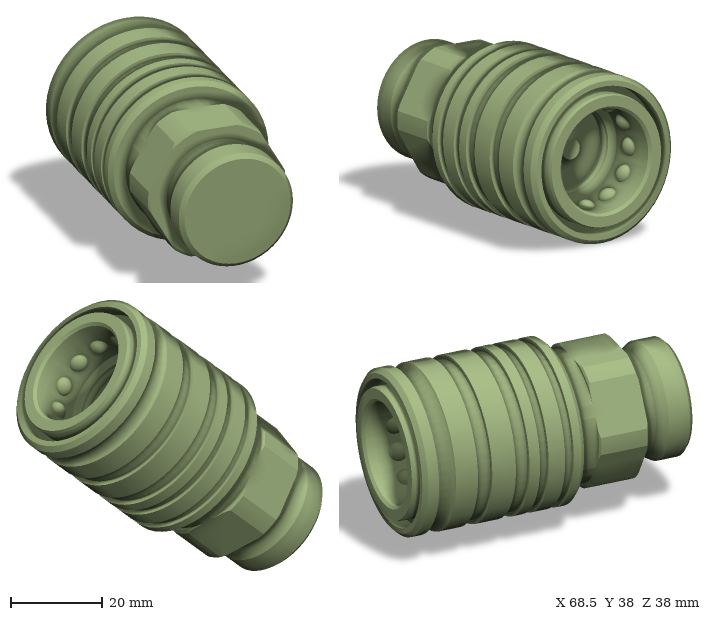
import cadquery as cq
import math


LENGTH = 68.5
SLEEVE_RADIUS = 38.0 / 2
BARREL_RADIUS = 15.1

SLEEVE_FRONT = 1.1
SLEEVE_REAR = 40.0
SLEEVE_CHAMFER = 1.0
GRIP_DEPTH = 1.0
GRIP_GROOVES = [(14.05, 17.5), (23.15, 26.45), (29.0, 31.0), (35.0, 37.05)]
ROUND_GROOVE_CENTER = 6.7
ROUND_GROOVE_WIDTH = 4.05
ROUND_GROOVE_DEPTH = 1.45
RECESS_RADIUS = 16.8
RECESS_DEPTH = 3.8

NOSE_CHAMFER_LENGTH = 0.8
NOSE_CHAMFER_DEPTH = 0.3
HEX_FRONT = 44.6
HEX_REAR = 56.4
HEX_ACROSS_FLATS = 30.0
HEX_CORNER_RADIUS = 16.25
HEX_FACE_RADIUS = 15.7
HEX_CHAMFER_ANGLE = 30.0
NECK_RADIUS = 12.0
NECK_FILLET = 0.35
FLARE_FRONT = 60.0
FLARE_REAR = 62.5
SPIGOT_RADIUS = 13.5
SPIGOT_CHAMFER = 1.0

SOCKET_RADIUS = 11.8
MOUTH_CHAMFER = 0.6
SEAT_START = 12.5
SEAT_END = 13.3
SEAL_BORE_RADIUS = 10.1
SOCKET_DEPTH = 16.45
SEAL_START = 14.0
SEAL_PROJECTION = 0.35
SEAL_SECTION_RADIUS = 1.2

NOSE_TIP_RADIUS = 2.3
NOSE_FLARE_RADIUS = 3.0
NOSE_RIM_WIDTH = 0.2
NOSE_RIM_HEIGHT = 0.15

BALL_COUNT = 12
BALL_RADIUS = 2.3
BALL_STATION = 7.8
BALL_CIRCLE_RADIUS = 12.7


def revolve_about_x(profile):
    """Turn a closed profile, drawn as (station, radius), about the X axis."""
    return profile.close().revolve(360, (0, 0, 0), (1, 0, 0))


def cylinder(start, end, radius):
    return cq.Workplane("YZ").workplane(offset=start).circle(radius).extrude(end - start)


def ring(start, end, inner_radius, outer_radius):
    return cylinder(start, end, outer_radius).cut(cylinder(start, end, inner_radius))


def make_sleeve():
    rim_radius = SLEEVE_RADIUS - SLEEVE_CHAMFER
    recess_floor = SLEEVE_FRONT + RECESS_DEPTH
    groove_front = ROUND_GROOVE_CENTER - ROUND_GROOVE_WIDTH / 2
    groove_rear = ROUND_GROOVE_CENTER + ROUND_GROOVE_WIDTH / 2
    groove_floor = (ROUND_GROOVE_CENTER, SLEEVE_RADIUS - ROUND_GROOVE_DEPTH)
    sleeve = revolve_about_x(
        cq.Workplane("XY")
        .moveTo(SLEEVE_FRONT, RECESS_RADIUS)
        .lineTo(SLEEVE_FRONT, rim_radius)
        .lineTo(SLEEVE_FRONT + SLEEVE_CHAMFER, SLEEVE_RADIUS)
        .lineTo(groove_front, SLEEVE_RADIUS)
        .threePointArc(groove_floor, (groove_rear, SLEEVE_RADIUS))
        .lineTo(SLEEVE_REAR - SLEEVE_CHAMFER, SLEEVE_RADIUS)
        .lineTo(SLEEVE_REAR, rim_radius)
        .lineTo(SLEEVE_REAR, BARREL_RADIUS)
        .lineTo(recess_floor, BARREL_RADIUS)
        .lineTo(recess_floor, RECESS_RADIUS)
    )
    for start, end in GRIP_GROOVES:
        sleeve = sleeve.cut(ring(start, end, SLEEVE_RADIUS - GRIP_DEPTH, SLEEVE_RADIUS + GRIP_DEPTH))
    return sleeve


def make_barrel():
    """Cylinder under the sleeve, with a slightly tapered front rim."""
    return revolve_about_x(
        cq.Workplane("XY")
        .moveTo(0, 0)
        .lineTo(0, BARREL_RADIUS - NOSE_CHAMFER_DEPTH)
        .lineTo(NOSE_CHAMFER_LENGTH, BARREL_RADIUS)
        .lineTo(HEX_FRONT, BARREL_RADIUS)
        .lineTo(HEX_FRONT, 0)
    )


def make_hex_prism(start, end):
    """Hexagonal prism with flats facing +Z and -Z."""
    across_corners = HEX_ACROSS_FLATS / math.cos(math.radians(30))
    return cq.Workplane("YZ").workplane(offset=start).polygon(6, across_corners).extrude(end - start)


def make_hexagon():
    """Wrench hexagon with rounded corners and conical end chamfers."""
    chamfer_length = (HEX_CORNER_RADIUS - HEX_FACE_RADIUS) * math.tan(math.radians(HEX_CHAMFER_ANGLE))
    envelope = revolve_about_x(
        cq.Workplane("XY")
        .moveTo(HEX_FRONT, 0)
        .lineTo(HEX_FRONT, HEX_FACE_RADIUS)
        .lineTo(HEX_FRONT + chamfer_length, HEX_CORNER_RADIUS)
        .lineTo(HEX_REAR - chamfer_length, HEX_CORNER_RADIUS)
        .lineTo(HEX_REAR, HEX_FACE_RADIUS)
        .lineTo(HEX_REAR, 0)
    )
    return make_hex_prism(HEX_FRONT, HEX_REAR).intersect(envelope)


def make_spigot():
    """Rear neck, filleted into the hexagon, flaring out to the end spigot."""
    fillet_end = (HEX_REAR + NECK_FILLET, NECK_RADIUS)
    fillet_drop = NECK_FILLET * (1 - math.sqrt(0.5))
    fillet_middle = (HEX_REAR + fillet_drop, NECK_RADIUS + fillet_drop)
    return revolve_about_x(
        cq.Workplane("XY")
        .moveTo(HEX_REAR, 0)
        .lineTo(HEX_REAR, NECK_RADIUS + NECK_FILLET)
        .threePointArc(fillet_middle, fillet_end)
        .lineTo(FLARE_FRONT, NECK_RADIUS)
        .lineTo(FLARE_REAR, SPIGOT_RADIUS)
        .lineTo(LENGTH - SPIGOT_CHAMFER, SPIGOT_RADIUS)
        .lineTo(LENGTH, SPIGOT_RADIUS - SPIGOT_CHAMFER)
        .lineTo(LENGTH, 0)
    )


def make_socket():
    """Cavity of the socket, including the waist left by the round seal bead."""
    bead_rise = SEAL_SECTION_RADIUS - SEAL_PROJECTION
    bead_half_width = math.sqrt(SEAL_SECTION_RADIUS**2 - bead_rise**2)
    bead_crest = (SEAL_START + bead_half_width, SEAL_BORE_RADIUS - SEAL_PROJECTION)
    bead_end = (SEAL_START + 2 * bead_half_width, SEAL_BORE_RADIUS)
    return revolve_about_x(
        cq.Workplane("XY")
        .moveTo(0, 0)
        .lineTo(0, SOCKET_RADIUS + MOUTH_CHAMFER)
        .lineTo(MOUTH_CHAMFER, SOCKET_RADIUS)
        .lineTo(SEAT_START, SOCKET_RADIUS)
        .lineTo(SEAT_END, SEAL_BORE_RADIUS)
        .lineTo(SEAL_START, SEAL_BORE_RADIUS)
        .threePointArc(bead_crest, bead_end)
        .lineTo(SOCKET_DEPTH, SEAL_BORE_RADIUS)
        .lineTo(SOCKET_DEPTH, 0)
    )


def make_valve_nose():
    """Trumpet-shaped nose that stands on the socket floor on a thin rim."""
    flare_foot_radius = NOSE_TIP_RADIUS + NOSE_FLARE_RADIUS
    rim_radius = flare_foot_radius + NOSE_RIM_WIDTH
    rim_face = SOCKET_DEPTH - NOSE_RIM_HEIGHT
    tip = rim_face - NOSE_FLARE_RADIUS
    flare_drop = NOSE_FLARE_RADIUS * (1 - math.sqrt(0.5))
    flare_middle = (rim_face - flare_drop, NOSE_TIP_RADIUS + flare_drop)
    return revolve_about_x(
        cq.Workplane("XY")
        .moveTo(tip, 0)
        .lineTo(tip, NOSE_TIP_RADIUS)
        .threePointArc(flare_middle, (rim_face, flare_foot_radius))
        .lineTo(rim_face, rim_radius)
        .lineTo(SOCKET_DEPTH, rim_radius)
        .lineTo(SOCKET_DEPTH, 0)
    )


def make_body():
    collar = cylinder(SLEEVE_REAR, HEX_FRONT, BARREL_RADIUS)
    collar_trim = collar.cut(make_hex_prism(SLEEVE_REAR, HEX_FRONT))
    body = make_barrel().cut(collar_trim)
    body = body.union(make_hexagon()).union(make_spigot())
    body = body.cut(make_socket()).union(make_valve_nose())
    for index in range(BALL_COUNT):
        angle = 2 * math.pi * index / BALL_COUNT
        center = (
            BALL_STATION,
            BALL_CIRCLE_RADIUS * math.cos(angle),
            BALL_CIRCLE_RADIUS * math.sin(angle),
        )
        body = body.union(cq.Workplane("XY").sphere(BALL_RADIUS).translate(center))
    return body


sleeve = make_sleeve()
body = make_body()
result = cq.Compound.makeCompound([sleeve.solids().val(), body.solids().val()])